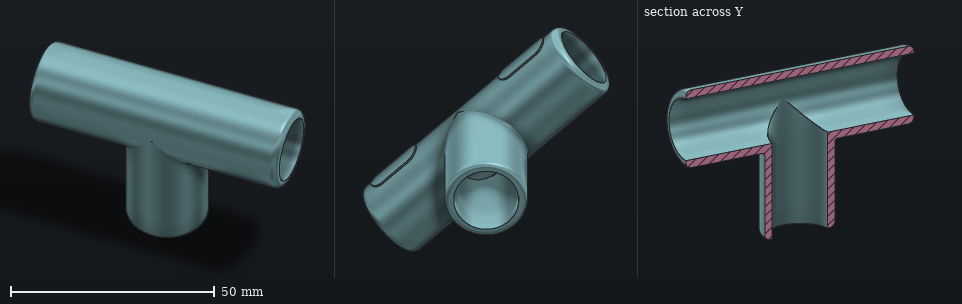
import cadquery as cq

run_length = 66.0
run_diameter = 20.4
tip_allowance = 0.001
branch_diameter = run_diameter - tip_allowance
branch_reach = 33.05
bore_diameter = 16.0
end_round_radius = 1.6
crotch_radius = 0.7

pad_length = 15.0
pad_width = 6.2
pad_height = 0.4
pad_offset = 21.5


def run_cylinder(diameter):
    """Cylinder along X, centred on the origin, as long as the run."""
    return cq.Workplane("YZ").circle(diameter / 2).extrude(run_length / 2, both=True)


def branch_cylinder(diameter):
    """Cylinder from the run axis down to the open end of the branch."""
    return cq.Workplane("XY").circle(diameter / 2).extrude(-branch_reach)


def outer_body():
    """Run and branch joined solid, with the rims rounded and the crotch blended."""
    run = run_cylinder(run_diameter).faces("<X or >X").edges().fillet(end_round_radius)
    branch = branch_cylinder(branch_diameter).faces("<Z").edges().fillet(end_round_radius)
    return run.union(branch).edges("not(%CIRCLE or %LINE)").fillet(crotch_radius)


def oblong_pads():
    """Oblong prisms toward +Y, trimmed to a cylinder concentric with the run."""
    prisms = (
        cq.Workplane("XZ")
        .pushPoints([(-pad_offset, 0), (pad_offset, 0)])
        .slot2D(pad_length, pad_width)
        .extrude(-run_diameter)
    )
    return prisms.intersect(run_cylinder(run_diameter + 2 * pad_height))


def bores():
    """Through bore of the run joined with the bore of the branch."""
    return run_cylinder(bore_diameter).union(branch_cylinder(bore_diameter))


result = outer_body().union(oblong_pads()).cut(bores())